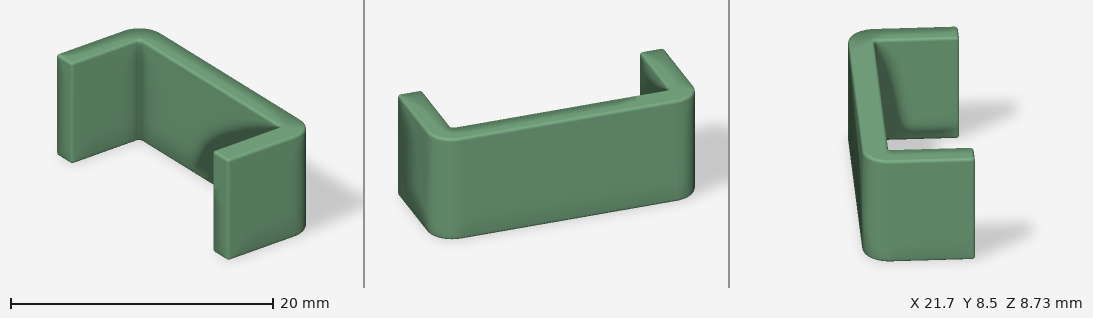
import cadquery as cq

length = 21.67
depth = 8.5
height = 8.73

wall = 2.0
outer_bend_radius = 2.05
inner_bend_radius = 0.25
edge_radius = 0.24


def rounded_u():
    """U-shaped body, open toward -Y, with its two back corners rounded."""
    outer = cq.Workplane("XY").box(length, depth, height)
    outer = outer.edges("|Z and >Y").fillet(outer_bend_radius)
    opening = (
        cq.Workplane("XY")
        .box(length - 2 * wall, depth, height)
        .translate((0, -wall, 0))
        .edges("|Z and >Y")
        .fillet(inner_bend_radius)
    )
    return outer.cut(opening)


def soften_edges(body):
    """Round the leg ends and every edge of the top and bottom faces."""
    return body.faces("<Y or >Z or <Z").edges().fillet(edge_radius)


result = soften_edges(rounded_u())